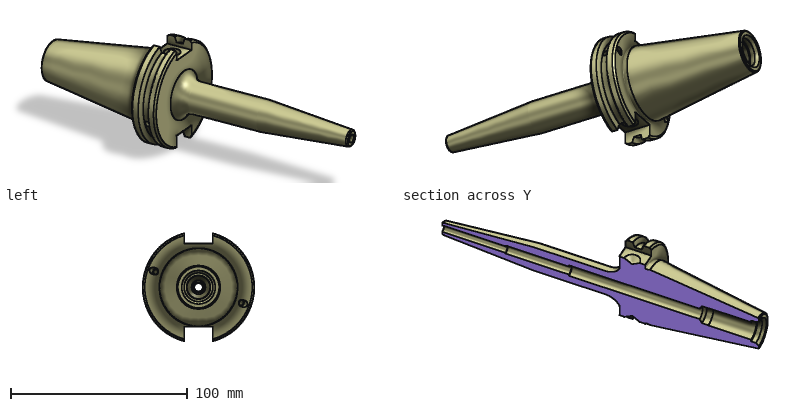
import cadquery as cq
import math

total_length = 198.2
gauge_x = 68.2
gauge_diameter = 44.5
taper_ratio = 7.0 / 24.0
rear_chamfer = 0.5
relief_diameter = 43.6
relief_start_x = 69.5
relief_fillet = 0.4

flange_start_x = 71.2
flange_end_x = 87.5
flange_diameter = 63.2
flange_chamfer = 1.2
groove_x = 79.5
groove_floor_diameter = 56.5
groove_floor_width = 4.2
groove_top_width = 6.7

nose_diameter = 19.0
nose_fillet = 9.7
nose_fillet_end_x = 96.2
cone_start_x = 141.0
tip_diameter = 10.1
tip_chamfer = 0.8

entry_diameter = 19.0
entry_depth = 2.0
counterbore_diameter = 16.3
counterbore_depth = 5.0
thread_bore_diameter = 13.5
thread_bore_depth = 31.7
drill_diameter = 13.0
drill_depth = 35.7
drill_point_angle = 118.0
coolant_bore_diameter = 8.0
coolant_bore_depth = 119.0
seat_diameter = 6.0
seat_depth = 158.6
tool_bore_diameter = 4.8

slot_width = 16.0
upper_slot_floor_z = 24.8
lower_slot_floor_z = -22.5
dimple_diameter = 9.5

passage_angle = 20.0
passage_radius = 27.0
passage_tilt = 36.0
mouth_diameter = 4.0
mouth_depth = 2.2
core_diameter = 3.2
core_depth = 10.0
cross_hole_diameter = 4.0
cross_hole_depth = 10.0


def drill_point_length(large_diameter, small_diameter=0.0):
    """Axial length of a drill-point cone between two diameters."""
    half_angle = math.radians(drill_point_angle / 2)
    return (large_diameter - small_diameter) / 2 / math.tan(half_angle)


def revolve_about_x(profile):
    return profile.close().revolve(360, (0, 0, 0), (1, 0, 0))


def make_body():
    gauge_radius = gauge_diameter / 2
    rear_radius = gauge_radius - gauge_x * taper_ratio / 2
    relief_radius = relief_diameter / 2
    flange_radius = flange_diameter / 2
    groove_radius = groove_floor_diameter / 2
    nose_radius = nose_diameter / 2
    tip_radius = tip_diameter / 2

    relief_mid = relief_fillet * (1 - math.cos(math.radians(45)))

    fillet_center_r = nose_radius + nose_fillet
    fillet_angle = math.asin((nose_fillet_end_x - flange_end_x) / nose_fillet)
    fillet_start_r = fillet_center_r - nose_fillet * math.cos(fillet_angle)
    fillet_mid = (
        nose_fillet_end_x - nose_fillet * math.sin(fillet_angle / 2),
        fillet_center_r - nose_fillet * math.cos(fillet_angle / 2),
    )

    profile = (
        cq.Workplane("XZ")
        .moveTo(0, 0)
        .lineTo(0, rear_radius - rear_chamfer)
        .lineTo(rear_chamfer, rear_radius + rear_chamfer * taper_ratio / 2)
        .lineTo(gauge_x, gauge_radius)
        .lineTo(relief_start_x, relief_radius)
        .lineTo(flange_start_x - relief_fillet, relief_radius)
        .threePointArc(
            (flange_start_x - relief_mid, relief_radius + relief_mid),
            (flange_start_x, relief_radius + relief_fillet),
        )
        .lineTo(flange_start_x, flange_radius - flange_chamfer)
        .lineTo(flange_start_x + flange_chamfer, flange_radius)
        .lineTo(groove_x - groove_top_width / 2, flange_radius)
        .lineTo(groove_x - groove_floor_width / 2, groove_radius)
        .lineTo(groove_x + groove_floor_width / 2, groove_radius)
        .lineTo(groove_x + groove_top_width / 2, flange_radius)
        .lineTo(flange_end_x - flange_chamfer, flange_radius)
        .lineTo(flange_end_x, flange_radius - flange_chamfer)
        .lineTo(flange_end_x, fillet_start_r)
        .threePointArc(fillet_mid, (nose_fillet_end_x, nose_radius))
        .lineTo(cone_start_x, nose_radius)
        .lineTo(total_length - tip_chamfer, tip_radius)
        .lineTo(total_length, tip_radius - tip_chamfer)
        .lineTo(total_length, 0)
    )
    return revolve_about_x(profile)


def make_bore():
    drill_point_x = drill_depth + drill_point_length(drill_diameter, coolant_bore_diameter)
    profile = (
        cq.Workplane("XZ")
        .moveTo(0, 0)
        .lineTo(0, entry_diameter / 2)
        .lineTo(entry_depth, counterbore_diameter / 2)
        .lineTo(counterbore_depth, counterbore_diameter / 2)
        .lineTo(counterbore_depth, thread_bore_diameter / 2)
        .lineTo(thread_bore_depth, thread_bore_diameter / 2)
        .lineTo(thread_bore_depth, drill_diameter / 2)
        .lineTo(drill_depth, drill_diameter / 2)
        .lineTo(drill_point_x, coolant_bore_diameter / 2)
        .lineTo(coolant_bore_depth, coolant_bore_diameter / 2)
        .lineTo(coolant_bore_depth, seat_diameter / 2)
        .lineTo(seat_depth, seat_diameter / 2)
        .lineTo(seat_depth, tool_bore_diameter / 2)
        .lineTo(total_length, tool_bore_diameter / 2)
        .lineTo(total_length, 0)
    )
    return revolve_about_x(profile)


def make_drive_slot(floor_z):
    """Slot along X through the flange, with a conical dimple in its floor."""
    outward = math.copysign(1, floor_z)
    flange_width = flange_end_x - flange_start_x
    flange_middle_x = (flange_start_x + flange_end_x) / 2
    slot_height = flange_diameter / 2
    slot = cq.Workplane("XY").box(flange_width, slot_width, slot_height)
    slot = slot.translate((flange_middle_x, 0, floor_z + outward * slot_height / 2))
    dimple = cq.Solid.makeCone(
        dimple_diameter / 2,
        0,
        drill_point_length(dimple_diameter),
        cq.Vector(groove_x, 0, floor_z),
        cq.Vector(0, 0, -outward),
    )
    return slot.union(cq.Workplane(dimple))


def make_coolant_passage():
    """Stepped hole slanting in from the flange face, met by a radial hole from the groove floor.

    It is built in the XY plane on the +Y side.
    """
    tilt = math.radians(passage_tilt)
    slant = cq.Vector(math.cos(tilt), -math.sin(tilt), 0)
    mouth = cq.Vector(flange_start_x, passage_radius, 0)
    lead_in = mouth_diameter
    mouth_hole = cq.Solid.makeCylinder(
        mouth_diameter / 2, mouth_depth + lead_in, mouth - slant * lead_in, slant
    )
    core_hole = cq.Solid.makeCylinder(core_diameter / 2, core_depth, mouth, slant)
    groove_floor = cq.Vector(groove_x, groove_floor_diameter / 2, 0)
    cross_hole = cq.Solid.makeCylinder(
        cross_hole_diameter / 2, cross_hole_depth, groove_floor, cq.Vector(0, -1, 0)
    )
    return cq.Workplane(mouth_hole).union(cq.Workplane(core_hole)).union(cq.Workplane(cross_hole))


result = make_body().cut(make_bore())

for slot_floor_z in (upper_slot_floor_z, lower_slot_floor_z):
    result = result.cut(make_drive_slot(slot_floor_z))

for side_angle in (0, 180):
    passage = make_coolant_passage().rotate((0, 0, 0), (1, 0, 0), passage_angle + side_angle)
    result = result.cut(passage)